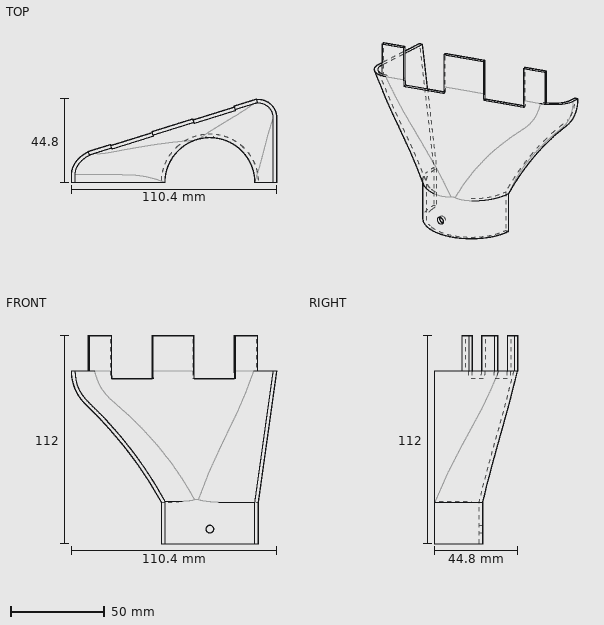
import cadquery as cq
import math


tube_radius = 26.1
wall = 2.0
tube_height = 22.4
hole_diameter = 4.0
hole_height = 8.0

scoop_top = 93.0
left_reach = 74.41
right_reach = 36.0
back_angle = math.radians(17.3)
back_distance_top = 35.38
left_round_top = 16.8
right_round_top = 10.0
right_round_sway = 0.035
left_round_power = 2.5
left_flat_height = 4.2
left_flat_growth = 0.45
seam_height = 24.0
seam_width = 1.0
section_count = 12

elbow_radius = 25.2
elbow_angle = math.radians(46.6)

part_height = 111.95
tab_row_centre = -10.1
middle_tab_width = 23.0
notch_width = 23.3
side_tab_width = 12.5
notch_depth = 4.2

overcut = 5.0

sin_back = math.sin(back_angle)
cos_back = math.cos(back_angle)
scoop_height = scoop_top - tube_height

elbow_end_x = -left_reach + elbow_radius * (1 - math.cos(elbow_angle))
elbow_end_z = scoop_top - elbow_radius * math.sin(elbow_angle)
chord_x = -tube_radius - elbow_end_x
chord_z = elbow_end_z - tube_height
chord_turn = math.atan2(chord_z, chord_x) - (math.pi / 2 - elbow_angle)
long_arc_radius = math.hypot(chord_x, chord_z) / (2 * math.sin(chord_turn))
long_arc_x = elbow_end_x - long_arc_radius * math.cos(elbow_angle)
long_arc_z = elbow_end_z - long_arc_radius * math.sin(elbow_angle)


def left_outline(z):
    """X of the left wall and its sideways run per unit of height."""
    if z > elbow_end_z:
        drop = scoop_top - z
        across = math.sqrt(elbow_radius**2 - drop**2)
        return -left_reach + elbow_radius - across, drop / across
    rise = z - long_arc_z
    across = math.sqrt(long_arc_radius**2 - rise**2)
    return long_arc_x + across, rise / across


def blend(start, end, t):
    return start + (end - start) * t


def back_line(x, distance):
    """Point of the back wall at a given X."""
    return (x, (distance + x * sin_back) / cos_back)


def corner_curve(start, corner, end, turn):
    """Control points of a cubic that rounds a corner; equal legs give a near-circular arc."""
    pull = 4 / 3 * math.tan(turn / 4) / math.tan(turn / 2)
    leave = [blend(a, b, pull) for a, b in zip(start, corner)]
    arrive = [blend(a, b, pull) for a, b in zip(end, corner)]
    return [start, tuple(leave), tuple(arrive), end]


def scoop_section(z, inset):
    """Closed outline of the scoop at one height, moved inward by `inset`."""
    t = (z - tube_height) / scoop_height
    left_x, left_run = left_outline(z)
    left_x += inset * math.hypot(1, left_run)
    right_x = blend(tube_radius, right_reach, t) - inset
    tilt = (z - seam_height) / (scoop_top - seam_height)
    distance = blend(tube_radius, back_distance_top, tilt) - inset
    left_round = blend(tube_radius, left_round_top, t**left_round_power) - inset
    right_t = t - right_round_sway * math.sin(2 * math.pi * t)
    right_round = blend(tube_radius, right_round_top, right_t) - inset
    half_seam = seam_width / 2 * (1 - t)

    left_corner = back_line(left_x, distance)
    right_corner = back_line(right_x, distance)
    left_tangent = back_line(left_x + left_round * (1 - sin_back) - half_seam, distance)
    right_tangent = back_line(right_x - right_round * (1 + sin_back) + half_seam, distance)
    flat_t = min(1, t / left_flat_growth)
    left_flat = (left_x, left_flat_height * math.sin(math.pi / 2 * flat_t))
    right_leg = math.dist(right_tangent, right_corner)
    right_flat = (right_x, right_corner[1] - right_leg)

    left_curve = corner_curve(left_flat, left_corner, left_tangent, math.pi / 2 - back_angle)
    right_curve = corner_curve(right_tangent, right_corner, right_flat, math.pi / 2 + back_angle)
    return (
        cq.Workplane("XY", origin=(0, 0, z))
        .moveTo(left_x, -overcut)
        .lineTo(*left_flat)
        .bezier(left_curve[1:], includeCurrent=True)
        .lineTo(*right_tangent)
        .bezier(right_curve[1:], includeCurrent=True)
        .lineTo(right_x, -overcut)
        .close()
        .val()
    )


def scoop_loft(inset):
    heights = [tube_height + scoop_height * i / section_count for i in range(section_count + 1)]
    return cq.Workplane(cq.Solid.makeLoft([scoop_section(z, inset) for z in heights]))


def back_plane(z):
    """Plane at height z with its X along the outside of the back wall."""
    origin = (-back_distance_top * sin_back, back_distance_top * cos_back, z)
    return cq.Workplane(cq.Plane(origin=origin, xDir=(cos_back, sin_back, 0), normal=(0, 0, 1)))


def cylinder(radius, height):
    return cq.Workplane("XY").circle(radius).extrude(height)


def make_body():
    """Scoop and tube as one wall, open at the front and with a small hole through the tube."""
    outside = scoop_loft(0).union(cylinder(tube_radius, seam_height))
    inside = scoop_loft(wall).union(cylinder(tube_radius - wall, seam_height))
    front = cq.Workplane("XY").box(4 * left_reach, 2 * tube_radius, 4 * scoop_top)
    front = front.translate((0, -tube_radius, 0))
    hole = cq.Workplane("XZ", origin=(0, 0, hole_height)).circle(hole_diameter / 2).extrude(-2 * tube_radius)
    return outside.cut(inside).cut(front).cut(hole)


def cut_notches(body):
    offset = (middle_tab_width + notch_width) / 2
    for side in (-1, 1):
        notch = (
            back_plane(scoop_top - notch_depth)
            .center(tab_row_centre + side * offset, 0)
            .rect(notch_width, 4 * wall)
            .extrude(2 * notch_depth)
        )
        body = body.cut(notch)
    return body


def add_tabs(body):
    offset = middle_tab_width / 2 + notch_width + side_tab_width / 2
    tabs = ((-offset, side_tab_width), (0, middle_tab_width), (offset, side_tab_width))
    for position, width in tabs:
        tab = (
            back_plane(scoop_top)
            .center(tab_row_centre + position, -wall / 2)
            .rect(width, wall)
            .extrude(part_height - scoop_top)
        )
        body = body.union(tab)
    return body


body = cut_notches(make_body())
result = add_tabs(body).solids()